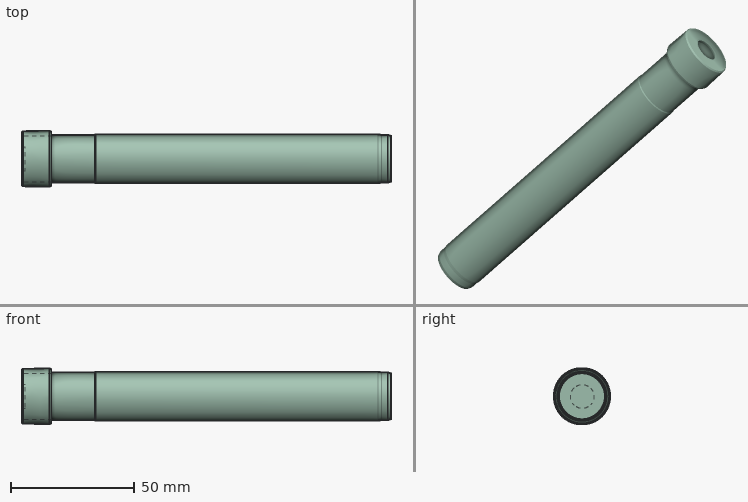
import cadquery as cq

LENGTH = 150.0

HEAD_LENGTH = 12.0
HEAD_DIAMETER = 23.0
HEAD_FACE_DIAMETER = 22.5
HEAD_FRONT_CHAMFER_LENGTH = 0.6
HEAD_FRONT_CHAMFER_DEPTH = 0.5
HEAD_BACK_CHAMFER_LENGTH = 0.9
HEAD_BACK_CHAMFER_DEPTH = 0.5
BORE_DIAMETER = 18.6

NECK_DIAMETER = 19.5
SHAFT_DIAMETER = 20.0
SHAFT_START = 30.0
SHAFT_CHAMFER_LENGTH = 0.5
TIP_DIAMETER = 19.5
TIP_LENGTH = 4.0
TIP_CONE_LENGTH = 1.4
END_CHAMFER_LENGTH = 1.4
END_CHAMFER_DEPTH = 0.5

RECESS_DIAMETER = 9.6
RECESS_DEPTH = 1.2
COUNTERSINK_DIAMETER = 11.1
COUNTERSINK_DEPTH = 0.2


def turned(profile):
    """Revolve a closed (x, radius) profile around the X axis."""
    return cq.Workplane("XY").polyline(profile).close().revolve(360, (0, 0), (1, 0))


def make_collar():
    bore_radius = BORE_DIAMETER / 2
    face_radius = HEAD_FACE_DIAMETER / 2
    head_radius = HEAD_DIAMETER / 2
    return turned([
        (0, bore_radius),
        (0, face_radius - HEAD_FRONT_CHAMFER_DEPTH),
        (HEAD_FRONT_CHAMFER_LENGTH, face_radius),
        (HEAD_LENGTH - HEAD_BACK_CHAMFER_LENGTH, head_radius),
        (HEAD_LENGTH, head_radius - HEAD_BACK_CHAMFER_DEPTH),
        (HEAD_LENGTH, bore_radius),
    ])


def make_pin():
    journal_radius = BORE_DIAMETER / 2
    neck_radius = NECK_DIAMETER / 2
    shaft_radius = SHAFT_DIAMETER / 2
    tip_radius = TIP_DIAMETER / 2
    tip_start = LENGTH - TIP_LENGTH
    return turned([
        (RECESS_DEPTH, 0),
        (RECESS_DEPTH, RECESS_DIAMETER / 2),
        (COUNTERSINK_DEPTH, RECESS_DIAMETER / 2),
        (0, COUNTERSINK_DIAMETER / 2),
        (0, journal_radius),
        (HEAD_LENGTH, journal_radius),
        (HEAD_LENGTH, neck_radius),
        (SHAFT_START - SHAFT_CHAMFER_LENGTH, neck_radius),
        (SHAFT_START, shaft_radius),
        (tip_start - TIP_CONE_LENGTH, shaft_radius),
        (tip_start, tip_radius),
        (LENGTH - END_CHAMFER_LENGTH, tip_radius),
        (LENGTH, tip_radius - END_CHAMFER_DEPTH),
        (LENGTH, 0),
    ])


collar = make_collar()
pin = make_pin()

result = cq.Compound.makeCompound([collar.val(), pin.val()])